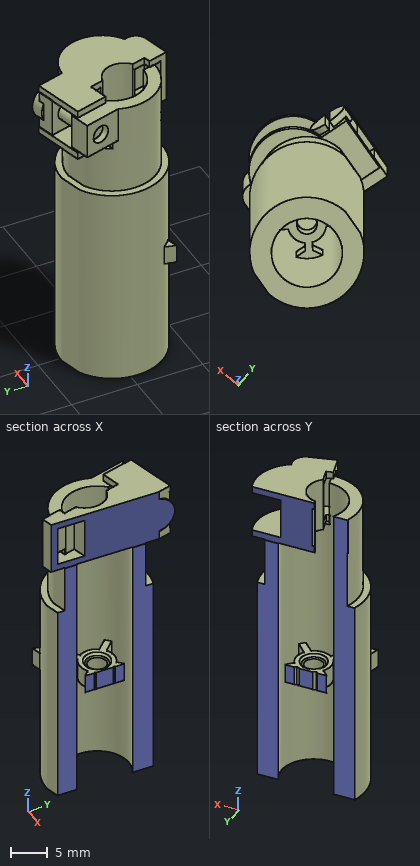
import cadquery as cq
import math

CLAMP_TURN = 15.0
TOTAL_HEIGHT = 46.25
FAR = 27.75

BODY_RADIUS = 7.75
NECK_RADIUS = 6.7
BORE_RADIUS = 4.8
LEDGE_Z = 31.05
FLAT_HALF_ANGLE = 13.5

PLATE_THICKNESS = 1.05
CLAMP_Z = 38.2
PLATE_GAP = 0.3
JAW_BOTTOM_Z = CLAMP_Z + PLATE_THICKNESS + PLATE_GAP
JAW_TOP_Z = TOTAL_HEIGHT - PLATE_THICKNESS - PLATE_GAP

EAR_OUTER_X = -5.5
EAR_INNER_X = -2.35
EAR_END_Y = 9.5
NOTCH_FRONT_Y = -4.75
JAW_END_X = -1.25

HUB_RADIUS = 2.65
HUB_HOLE_RADIUS = 1.4
HUB_STEP_RADIUS = 1.65
HUB_MOUTH_RADIUS = 1.95
MOUTH_DEPTH = 0.35
STEP_DEPTH = 0.15
HUB_BOTTOM_Z = 16.05
HUB_TOP_Z = 18.9
SPOKE_WIDTH = 1.0
SPOKE_ANGLES = (30, 120, 210, 300)
KEY_ANGLE = 210
KEY_TIP_RADIUS = 9.25
KEY_HALF_ANGLE = 30
FLARE_START_RADIUS = 3.7
FLARE_HALF_ANGLE = 60

COVER_AXIS_Y = -0.5
COVER_LEFT_X = -3.6
COVER_SPLIT_X = -1.65
COVER_FACE_X = -0.65
COVER_RIGHT_X = 4.35
COVER_TOP_Y = 9.5
BLOCK_END_Y = 9.4
COVER_BOTTOM_Y = -8.5
COVER_STEP_Y = -5.35
SHOULDER_Y = 4.4
CORNER_RADIUS = 1.9
DISC_X = 2.55
DISC_RADIUS = 6.0
CHANNEL_X = -1.95
CHANNEL_RADIUS = 3.05
PAD_HALF_WIDTH = 3.1
BLOCK_FACE_X = 1.65
WALL_THICKNESS = 1.05

SCREW_Y = 7.0
SCREW_Z = (JAW_BOTTOM_Z + JAW_TOP_Z) / 2
SCREW_RADIUS = 1.35
SCREW_TIP_X = -4.45
HEAD_RADIUS = 2.78
HEAD_END_X = 5.3
HEAD_BASE_X = 3.38
SLOT_WIDTH = 0.75


def block(x0, x1, y0, y1, z0, z1):
    """Axis-aligned box between two opposite corners."""
    return cq.Workplane("XY").box(x1 - x0, y1 - y0, z1 - z0, centered=False).translate((x0, y0, z0))


def prism(points, z0, z1):
    """Upright prism over a polygon."""
    return cq.Workplane("XY").workplane(offset=z0).polyline(points).close().extrude(z1 - z0)


def cylinder(radius, z0, z1):
    """Upright cylinder on the main axis."""
    return cq.Workplane("XY").workplane(offset=z0).circle(radius).extrude(z1 - z0)


def rod_x(radius, x0, x1):
    """Cylinder along x on the screw axis."""
    return cq.Workplane("YZ").workplane(offset=x0).center(SCREW_Y, SCREW_Z).circle(radius).extrude(x1 - x0)


def flatted_cylinder(radius, z0, z1):
    """Cylinder with two opposite flats facing -y and +y."""
    flat_y = radius * math.cos(math.radians(FLAT_HALF_ANGLE))
    return cylinder(radius, z0, z1).intersect(block(-FAR, FAR, -flat_y, flat_y, z0, z1))


def housing_tube():
    """Body and neck, not yet bored."""
    return flatted_cylinder(BODY_RADIUS, 0, LEDGE_Z).union(flatted_cylinder(NECK_RADIUS, LEDGE_Z, JAW_TOP_Z))


def jaw_opening():
    """Everything above the opening floor that belongs to the cover side."""
    outline = [
        (JAW_END_X, 0),
        (JAW_END_X, -FAR),
        (FAR, -FAR),
        (FAR, FAR),
        (EAR_INNER_X, FAR),
        (EAR_INNER_X, 0),
    ]
    return prism(outline, CLAMP_Z, TOTAL_HEIGHT)


def plate_notches():
    """Slots under the jaw that receive the lower cover plate."""
    front = block(-FAR, FAR, -FAR, NOTCH_FRONT_Y, CLAMP_Z, JAW_BOTTOM_Z)
    back = block(-FAR, FAR, SHOULDER_Y, FAR, CLAMP_Z, JAW_BOTTOM_Z)
    return front.union(back)


def ear():
    """Flat tab on the jaw that takes the screw."""
    return block(EAR_OUTER_X, EAR_INNER_X, 0, EAR_END_Y, JAW_BOTTOM_Z, JAW_TOP_Z)


def key():
    """Wedge-shaped key outside the body and the flare of its spoke inside the bore."""
    wall_radius = (BORE_RADIUS + BODY_RADIUS) / 2
    tip_half = (KEY_TIP_RADIUS - wall_radius) * math.tan(math.radians(KEY_HALF_ANGLE))
    tip = [(KEY_TIP_RADIUS, 0), (wall_radius, tip_half), (wall_radius, -tip_half)]
    spoke_half = SPOKE_WIDTH / 2
    flare_half = spoke_half + (wall_radius - FLARE_START_RADIUS) * math.tan(math.radians(FLARE_HALF_ANGLE))
    flare = [
        (FLARE_START_RADIUS, spoke_half),
        (wall_radius, flare_half),
        (wall_radius, -flare_half),
        (FLARE_START_RADIUS, -spoke_half),
    ]
    flare_web = prism(flare, HUB_BOTTOM_Z, HUB_TOP_Z).intersect(cylinder(wall_radius, HUB_BOTTOM_Z, HUB_TOP_Z))
    wedge = prism(tip, HUB_BOTTOM_Z, HUB_TOP_Z).union(flare_web)
    return wedge.rotate((0, 0, 0), (0, 0, 1), KEY_ANGLE)


def spokes():
    """Radial arms from the hub into the tube wall."""
    reach = (BORE_RADIUS + NECK_RADIUS) / 2
    arms = cylinder(HUB_RADIUS, HUB_BOTTOM_Z, HUB_TOP_Z)
    for angle in SPOKE_ANGLES:
        arm = block(0, reach, -SPOKE_WIDTH / 2, SPOKE_WIDTH / 2, HUB_BOTTOM_Z, HUB_TOP_Z)
        arms = arms.union(arm.rotate((0, 0, 0), (0, 0, 1), angle))
    return arms


def hub_hole():
    """Through hole with a two-stage countersink at the top."""
    profile = [
        (0, HUB_BOTTOM_Z),
        (HUB_HOLE_RADIUS, HUB_BOTTOM_Z),
        (HUB_HOLE_RADIUS, HUB_TOP_Z - MOUTH_DEPTH - STEP_DEPTH),
        (HUB_STEP_RADIUS, HUB_TOP_Z - MOUTH_DEPTH),
        (HUB_MOUTH_RADIUS, HUB_TOP_Z),
        (0, HUB_TOP_Z),
    ]
    return cq.Workplane("XZ").polyline(profile).close().revolve(360, (0, 0, 0), (0, 1, 0))


def build_housing():
    shell = housing_tube().cut(jaw_opening()).cut(plate_notches()).union(ear())
    shell = shell.cut(cylinder(BORE_RADIUS, 0, TOTAL_HEIGHT))
    shell = shell.cut(rod_x(SCREW_RADIUS, EAR_OUTER_X, EAR_INNER_X))
    return shell.union(spokes()).union(key()).cut(hub_hole())


def cover_frame(z0, z1):
    """Cover outline without the disc, with one rounded corner."""
    outline = [
        (COVER_SPLIT_X, COVER_BOTTOM_Y),
        (COVER_RIGHT_X, COVER_BOTTOM_Y),
        (COVER_RIGHT_X, COVER_TOP_Y),
        (COVER_LEFT_X, COVER_TOP_Y),
        (COVER_LEFT_X, SHOULDER_Y),
        (COVER_FACE_X, SHOULDER_Y),
        (COVER_FACE_X, COVER_STEP_Y),
        (COVER_SPLIT_X, COVER_STEP_Y),
    ]
    corner = cq.selectors.NearestToPointSelector((COVER_RIGHT_X, COVER_BOTTOM_Y, (z0 + z1) / 2))
    return prism(outline, z0, z1).edges(corner).fillet(CORNER_RADIUS)


def disc(z0):
    """Round part of one plate, trimmed at the cable side."""
    round_plate = cylinder(DISC_RADIUS, z0, z0 + PLATE_THICKNESS).translate((DISC_X, COVER_AXIS_Y, 0))
    return round_plate.intersect(block(COVER_FACE_X, FAR, -FAR, FAR, z0, z0 + PLATE_THICKNESS))


def cover_cavity():
    """Space between the plates for the housing jaw and ear, around the channel pad."""
    z0 = CLAMP_Z + PLATE_THICKNESS
    z1 = TOTAL_HEIGHT - PLATE_THICKNESS
    space = block(-FAR, BLOCK_FACE_X, COVER_BOTTOM_Y + WALL_THICKNESS, FAR, z0, z1)
    pad_y0 = COVER_AXIS_Y - PAD_HALF_WIDTH
    pad_y1 = COVER_AXIS_Y + PAD_HALF_WIDTH
    pad = block(COVER_FACE_X, BLOCK_FACE_X, pad_y0, pad_y1, z0, z1)
    end_relief = block(-FAR, FAR, BLOCK_END_Y, FAR, z0, z1)
    return space.cut(pad).union(end_relief)


def screw():
    """Shank across the clamp gap and slotted head on the outer side."""
    shank = rod_x(SCREW_RADIUS, SCREW_TIP_X, COVER_RIGHT_X)
    head = rod_x(HEAD_RADIUS, HEAD_BASE_X, HEAD_END_X)
    slot = block(COVER_RIGHT_X, HEAD_END_X, SCREW_Y - SLOT_WIDTH / 2, SCREW_Y + SLOT_WIDTH / 2, 0, TOTAL_HEIGHT)
    return shank.union(head.cut(slot))


def build_cover():
    body = cover_frame(CLAMP_Z, TOTAL_HEIGHT)
    for plate_z in (CLAMP_Z, TOTAL_HEIGHT - PLATE_THICKNESS):
        body = body.union(disc(plate_z))
    channel = cylinder(CHANNEL_RADIUS, CLAMP_Z, TOTAL_HEIGHT).translate((CHANNEL_X, COVER_AXIS_Y, 0))
    return body.cut(cover_cavity()).cut(channel).union(screw())


def turned(body):
    """Turn a body from the clamp frame to the part axes."""
    return body.rotate((0, 0, 0), (0, 0, 1), CLAMP_TURN)


housing = turned(build_housing())
cover = turned(build_cover())

result = cq.Compound.makeCompound([housing.val(), cover.val()])